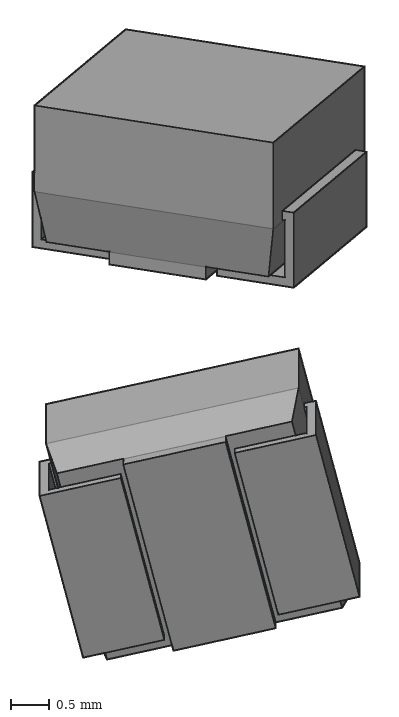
import cadquery as cq

overall_length = 3.71
overall_height = 2.11

housing_length = 3.39
housing_width = 3.0
taper_inset = 0.12
parting_height = 0.91
standoff = 0.178
foot_length = 1.373

terminal_width = 2.4
terminal_height = 1.05
terminal_thickness = 0.125
terminal_leg = 1.09


def make_housing():
    """Block with a tapered lower part and a central foot on the mounting plane."""
    bottom_length = housing_length - 2 * taper_inset
    bottom_width = housing_width - 2 * taper_inset

    upper = (
        cq.Workplane("XY", origin=(0, 0, parting_height))
        .rect(housing_length, housing_width)
        .extrude(overall_height - parting_height)
    )
    lower = (
        cq.Workplane("XY", origin=(0, 0, standoff))
        .rect(bottom_length, bottom_width)
        .workplane(offset=parting_height - standoff)
        .rect(housing_length, housing_width)
        .loft(ruled=True)
    )
    foot = cq.Workplane("XY").rect(foot_length, bottom_width).extrude(standoff)
    return upper.union(lower).union(foot).solids()


def make_terminal(side):
    """Bent strip whose top tab meets the housing wall; side is -1 or +1 along X."""
    outer = overall_length / 2
    inner = outer - terminal_thickness
    housing_wall = housing_length / 2
    leg_end = outer - terminal_leg
    tab_underside = terminal_height - terminal_thickness

    profile = [
        (leg_end, 0),
        (outer, 0),
        (outer, terminal_height),
        (housing_wall, terminal_height),
        (housing_wall, tab_underside),
        (inner, tab_underside),
        (inner, terminal_thickness),
        (leg_end, terminal_thickness),
    ]
    return (
        cq.Workplane("XZ")
        .polyline([(side * x, z) for x, z in profile])
        .close()
        .extrude(terminal_width / 2, both=True)
        .solids()
    )


housing = make_housing()
terminals = [make_terminal(side) for side in (-1, 1)]

result = cq.Compound.makeCompound([housing.val(), *[terminal.val() for terminal in terminals]])